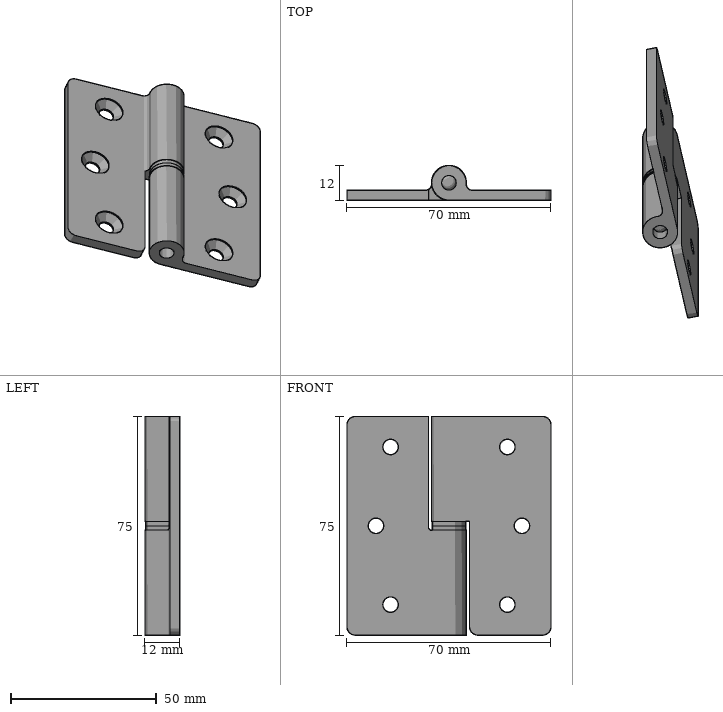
import cadquery as cq
import math

hinge_width = 70.0
hinge_height = 75.0
plate_thickness = 3.5
corner_radius = 3.0
half_width = hinge_width / 2
half_height = hinge_height / 2

knuckle_radius = 6.0
knuckle_clearance = 1.0
root_fillet_radius = 2.0
slot_corner_radius = 1.0
slot_edge_x = knuckle_radius + knuckle_clearance
plate_front_y = -knuckle_radius
plate_back_y = plate_front_y + plate_thickness

washer_thickness = 1.5
washer_count = 2
washer_diameter = 11.6
washer_stack = washer_count * washer_thickness
knuckle_end_z = washer_stack / 2

pin_diameter = 5.0
pin_end_radius = 1.5
pin_recess = 4.0
pin_length = hinge_height - 2 * pin_recess

screw_hole_diameter = 5.2
countersink_angle = 90.0
countersink_land = 0.6
countersink_diameter = 10.0
countersink_spread = (countersink_diameter - screw_hole_diameter) / 2
countersink_depth = countersink_spread / math.tan(math.radians(countersink_angle / 2))
outer_hole_x = 25.0
inner_hole_x = 20.0
inner_hole_z = 27.0
screw_holes = [(outer_hole_x, 0), (inner_hole_x, inner_hole_z), (inner_hole_x, -inner_hole_z)]


def leaf_profile():
    """Cross-section of a leaf whose plate extends toward +X, rolled into a full knuckle."""
    fillet_center_y = plate_back_y + root_fillet_radius
    center_distance = knuckle_radius + root_fillet_radius
    fillet_center_x = math.sqrt(center_distance**2 - fillet_center_y**2)
    knuckle_share = knuckle_radius / center_distance
    knuckle_tangent = (fillet_center_x * knuckle_share, fillet_center_y * knuckle_share)
    plate_tangent = (fillet_center_x, plate_back_y)

    to_knuckle = math.atan2(-fillet_center_y, -fillet_center_x) % (2 * math.pi)
    to_plate = 1.5 * math.pi
    middle = (to_knuckle + to_plate) / 2
    fillet_middle = (
        fillet_center_x + root_fillet_radius * math.cos(middle),
        fillet_center_y + root_fillet_radius * math.sin(middle),
    )
    return (
        cq.Workplane("XY", origin=(0, 0, -half_height))
        .moveTo(0, plate_front_y)
        .lineTo(half_width, plate_front_y)
        .lineTo(half_width, plate_back_y)
        .lineTo(*plate_tangent)
        .threePointArc(fillet_middle, knuckle_tangent)
        .threePointArc((-knuckle_radius, 0), (0, plate_front_y))
        .close()
    )


def knuckle_slot():
    """Clearance below the knuckle for the other leaf's knuckle and the washers."""
    slot_width = slot_edge_x + knuckle_radius
    slot_height = half_height + knuckle_end_z
    return (
        cq.Workplane("XY", origin=(-knuckle_radius, 0, -half_height))
        .box(slot_width, 2 * knuckle_radius, slot_height, centered=(False, True, False))
    )


def screw_hole_tool(hole_x, hole_z):
    """Through hole with a countersink that runs out straight at the back of the plate."""
    countersink_start_y = plate_front_y + countersink_land
    hole_radius = screw_hole_diameter / 2
    return (
        cq.Workplane("XY")
        .moveTo(0, plate_front_y)
        .lineTo(hole_radius, plate_front_y)
        .lineTo(hole_radius, countersink_start_y)
        .lineTo(countersink_diameter / 2, countersink_start_y + countersink_depth)
        .lineTo(countersink_diameter / 2, plate_back_y)
        .lineTo(0, plate_back_y)
        .close()
        .revolve(360, (0, 0, 0), (0, 1, 0))
        .translate((hole_x, 0, hole_z))
    )


def leaf(slot):
    """Leaf extending toward +X, with its knuckle in the upper half above the given slot."""
    bore = cq.Workplane("XY").circle(pin_diameter / 2).extrude(half_height)
    body = leaf_profile().extrude(hinge_height).cut(slot)
    body = body.edges("|Y and >X").fillet(corner_radius)
    body = body.cut(bore)
    for hole_x, hole_z in screw_holes:
        body = body.cut(screw_hole_tool(hole_x, hole_z))
    return body


def build_right_leaf():
    """Leaf with a sharp slot corner and a rounded lower inner corner."""
    return leaf(knuckle_slot()).edges("|Y and <Z").edges("<X").fillet(corner_radius)


def build_left_leaf():
    """Leaf with a rounded slot corner, turned over about Y so its knuckle is in the lower half."""
    rounded_slot = knuckle_slot().edges("|Y and >X and >Z").fillet(slot_corner_radius)
    return leaf(rounded_slot).rotate((0, 0, 0), (0, 1, 0), 180)


def build_washer(bottom_z):
    """Flat washer around the pin, resting at the given height."""
    return (
        cq.Workplane("XY", origin=(0, 0, bottom_z))
        .circle(washer_diameter / 2)
        .circle(pin_diameter / 2)
        .extrude(washer_thickness)
    )


def build_pin():
    """Pin with rounded ends, recessed equally at both ends of the bore."""
    return (
        cq.Workplane("XY")
        .cylinder(pin_length, pin_diameter / 2)
        .edges("%CIRCLE")
        .fillet(pin_end_radius)
    )


right_leaf = build_right_leaf()
left_leaf = build_left_leaf()
pin = build_pin()
washers = [build_washer(index * washer_thickness - knuckle_end_z) for index in range(washer_count)]

result = cq.Compound.makeCompound(
    [right_leaf.val(), left_leaf.val(), pin.val(), *[washer.val() for washer in washers]]
)